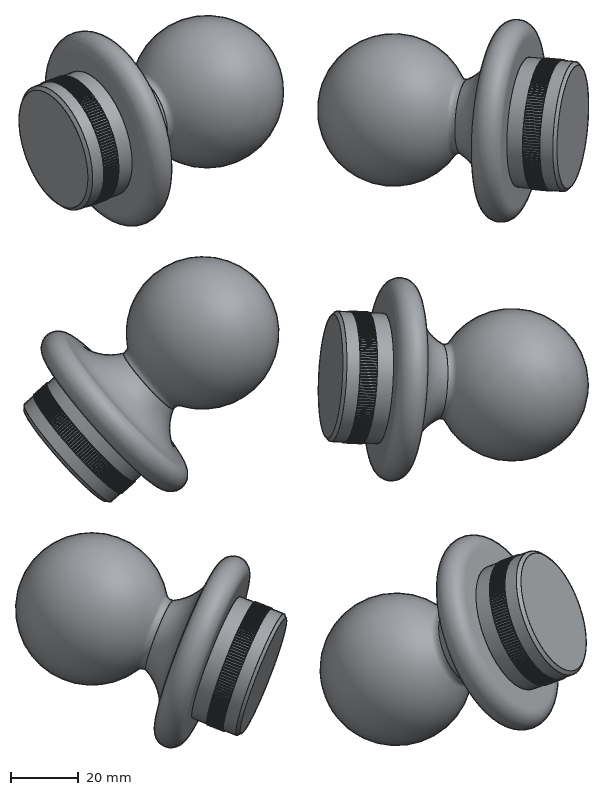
import cadquery as cq
import math

total_length = 77.0
ball_radius = 22.5

plug_radius = 19.25
plug_length = 15.0
plug_chamfer = 1.0

flange_diameter = 60.0
flange_thickness = 9.0

neck_radius = 11.0
neck_start = 33.0
neck_fillet = 2.0

knurl_start = 4.9
knurl_width = 5.2
knurl_tip_radius = 19.5
knurl_vee_radius = 19.0
knurl_teeth = 140
knurl_tip_share = 0.55

flange_radius = flange_diameter / 2
rim_radius = flange_thickness / 2
rim_center = flange_radius - rim_radius
flange_top = plug_length + flange_thickness
ball_center = total_length - ball_radius


def turned_body():
    """Plug, flange, flared foot, neck and ball as one revolved outline."""
    flare_reach = rim_center - neck_radius
    flare_height = neck_start - flange_top
    flare_radius = (flare_reach**2 + flare_height**2) / (2 * flare_height)
    flare_center = flange_top + flare_radius
    flare_half_angle = math.atan2(flare_height, flare_reach)
    flare_mid = (
        rim_center - flare_radius * math.sin(flare_half_angle),
        flare_center - flare_radius * math.cos(flare_half_angle),
    )

    fillet_center_radius = neck_radius + neck_fillet
    center_distance = ball_radius + neck_fillet
    fillet_angle = math.acos(fillet_center_radius / center_distance)
    fillet_center = ball_center - center_distance * math.sin(fillet_angle)
    fillet_mid = (
        fillet_center_radius - neck_fillet * math.cos(fillet_angle / 2),
        fillet_center + neck_fillet * math.sin(fillet_angle / 2),
    )
    ball_start = (
        ball_radius * math.cos(fillet_angle),
        ball_center - ball_radius * math.sin(fillet_angle),
    )

    outline = (
        cq.Workplane("XY")
        .lineTo(plug_radius - plug_chamfer, 0)
        .lineTo(plug_radius, plug_chamfer)
        .lineTo(plug_radius, plug_length)
        .lineTo(rim_center, plug_length)
        .threePointArc((flange_radius, plug_length + rim_radius), (rim_center, flange_top))
        .threePointArc(flare_mid, (neck_radius, neck_start))
        .lineTo(neck_radius, fillet_center)
        .threePointArc(fillet_mid, ball_start)
        .threePointArc((ball_radius, ball_center), (0, total_length))
        .close()
    )
    return outline.revolve(360, (0, 0, 0), (0, 1, 0))


def knurled_band():
    """Straight teeth with flat tips; the grooves between them run down to the plug surface."""
    pitch_angle = 2 * math.pi / knurl_teeth
    tip_half_angle = knurl_tip_share * pitch_angle / 2
    points = []
    for tooth in range(knurl_teeth):
        tooth_angle = (tooth + 0.5) * pitch_angle
        corners = (
            (knurl_tip_radius, tooth_angle - tip_half_angle),
            (knurl_tip_radius, tooth_angle + tip_half_angle),
            (knurl_vee_radius, tooth_angle + pitch_angle / 2),
        )
        for radius, angle in corners:
            points.append((radius * math.cos(angle), radius * math.sin(angle)))
    return (
        cq.Workplane("XZ", origin=(0, knurl_start, 0))
        .polyline(points)
        .close()
        .extrude(-knurl_width)
    )


result = turned_body().union(knurled_band()).translate((0, -total_length / 2, 0))